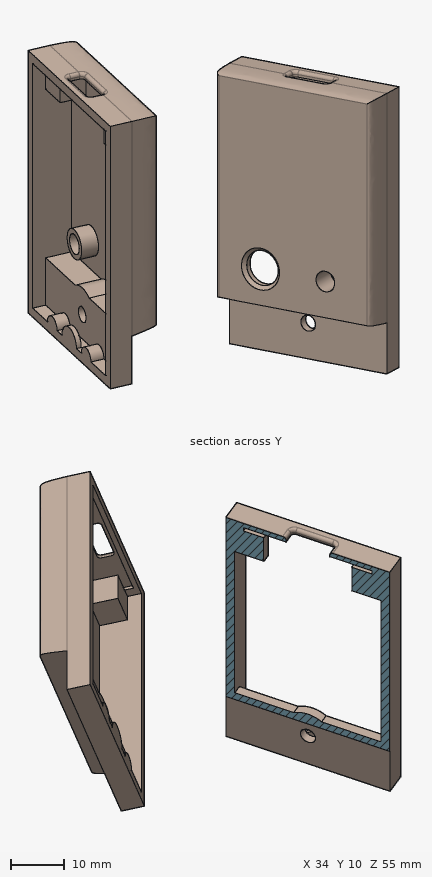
import cadquery as cq

WIDTH = 34.0
HEIGHT = 55.0
DEPTH = 10.0
HALF_WIDTH = WIDTH / 2

FRAME_DEPTH = 4.5
BACK_BOTTOM = 10.0
BACK_BOTTOM_RISE = 0.9

DRAFT_GUIDE_Y = 8.5
SIDE_DRAFT = 0.1
SIDE_FLAT_INSET = 1.0
TOP_DRAFT = 0.05
TOP_FLAT_INSET = 0.65

WALL = 1.9
FLOOR_THICKNESS = 1.9
FLOOR_Y = DEPTH - FLOOR_THICKNESS
STEP_Y = 2.7
CORNER_BLOCK = 6.0
SHELF_TOP = 11.8

RECESS_WIDTH = 26.6
RECESS_HEIGHT = 0.7
RECESS_FRONT_Y = 1.0

SCREW_Z = 7.0
SCREW_DIAMETER = 3.1
BULGE_RADIUS = 5.6

OPENING_X = 7.0
OPENING_Z = 18.0
LARGE_HOLE_DIAMETER = 6.8
LARGE_HOLE_CHAMFER = 0.7
TUBE_DIAMETER = 6.0
TUBE_BORE = 4.0
TUBE_FRONT_Y = 4.6

PEG_X = 7.0
PEG_DIAMETER = 4.0
MIDDLE_TAB_DIAMETER = 6.0
MIDDLE_TAB_THICKNESS = 1.0

PORT_WIDTH = 9.0
PORT_DEPTH = 3.3
PORT_Y = 3.5
PORT_CORNER = 0.7
PORT_LIP = 0.7


def box(x_range, y_range, z_range):
    """Axis-aligned box between the given limits."""
    size = [limits[1] - limits[0] for limits in (x_range, y_range, z_range)]
    corner = (x_range[0], y_range[0], z_range[0])
    return cq.Workplane("XY").box(*size, centered=False).translate(corner)


def cylinder(x, z, diameter, y_start, y_end):
    """Cylinder along Y."""
    plane = cq.Workplane("XZ", origin=(x, y_start, z))
    return plane.circle(diameter / 2).extrude(y_start - y_end)


def edge_curve(edge, draft, flat_inset):
    """Bezier control points of a rounded edge, as (distance from the middle, Y), frame to back face."""
    return [
        (edge, FRAME_DEPTH),
        (edge - draft, DRAFT_GUIDE_Y),
        (edge - draft, DEPTH),
        (edge - flat_inset, DEPTH),
    ]


def back_body():
    """Rear block: the width profile crossed with the height profile."""
    right = edge_curve(HALF_WIDTH, SIDE_DRAFT, SIDE_FLAT_INSET)
    left = [(-x, y) for x, y in reversed(right)]
    top = [(y, z) for z, y in edge_curve(HEIGHT, TOP_DRAFT, TOP_FLAT_INSET)]
    width_profile = (
        cq.Workplane("XY")
        .moveTo(*right[0])
        .bezier(right)
        .lineTo(*left[0])
        .bezier(left)
        .close()
        .extrude(HEIGHT)
    )
    height_profile = (
        cq.Workplane("YZ", origin=(-HALF_WIDTH, 0, 0))
        .moveTo(FRAME_DEPTH, BACK_BOTTOM)
        .lineTo(*top[0])
        .bezier(top)
        .lineTo(DEPTH, BACK_BOTTOM + BACK_BOTTOM_RISE)
        .close()
        .extrude(WIDTH)
    )
    return width_profile.intersect(height_profile)


def cavity():
    """Hollow open to the front, less the shelf and the corner blocks, plus the recess in the top wall."""
    half = HALF_WIDTH - WALL
    top = HEIGHT - WALL
    hollow = box((-half, half), (0, FLOOR_Y), (WALL, top))
    shelf = box((-half, half), (STEP_Y, FLOOR_Y), (WALL, SHELF_TOP))
    bulge = cylinder(0, SCREW_Z, 2 * BULGE_RADIUS, STEP_Y, FLOOR_Y)
    hollow = hollow.cut(shelf).cut(bulge)
    for x_start in (-half, half - CORNER_BLOCK):
        block_x = (x_start, x_start + CORNER_BLOCK)
        hollow = hollow.cut(box(block_x, (STEP_Y, FLOOR_Y), (top - CORNER_BLOCK, top)))
    recess_x = (-RECESS_WIDTH / 2, RECESS_WIDTH / 2)
    return hollow.union(box(recess_x, (RECESS_FRONT_Y, FLOOR_Y), (top, top + RECESS_HEIGHT)))


def bottom_tabs():
    """Two pegs reaching the shelf and a thin middle tab; half of each is inside the wall."""
    tabs = cylinder(0, WALL, MIDDLE_TAB_DIAMETER, 0, MIDDLE_TAB_THICKNESS)
    for x in (-PEG_X, PEG_X):
        tabs = tabs.union(cylinder(x, WALL, PEG_DIAMETER, 0, STEP_Y))
    return tabs.intersect(box((-HALF_WIDTH, HALF_WIDTH), (0, STEP_Y), (0, SHELF_TOP)))


def cut_port(body):
    """Rounded slot through the top wall with a rounded outer lip."""
    slot = (
        cq.Workplane("XY", origin=(0, PORT_Y, HEIGHT - WALL))
        .rect(PORT_WIDTH, PORT_DEPTH)
        .extrude(WALL)
        .edges("|Z")
        .fillet(PORT_CORNER)
    )
    half_depth = (PORT_DEPTH + PORT_LIP) / 2
    lip_region = cq.selectors.BoxSelector(
        (-PORT_WIDTH, PORT_Y - half_depth, HEIGHT - PORT_LIP),
        (PORT_WIDTH, PORT_Y + half_depth, HEIGHT + PORT_LIP),
    )
    vertical = cq.selectors.ParallelDirSelector(cq.Vector(0, 0, 1))
    return body.cut(slot).edges(lip_region - vertical).fillet(PORT_LIP)


def cut_large_hole(body):
    """Plain hole through the back, chamfered at the back face."""
    hole = cylinder(OPENING_X, OPENING_Z, LARGE_HOLE_DIAMETER, 0, DEPTH)
    back_edge = cq.selectors.BoxSelector(
        (0, DEPTH - LARGE_HOLE_CHAMFER, OPENING_Z - LARGE_HOLE_DIAMETER),
        (HALF_WIDTH, DEPTH + LARGE_HOLE_CHAMFER, OPENING_Z + LARGE_HOLE_DIAMETER),
    )
    circles = cq.selectors.TypeSelector("CIRCLE")
    return body.cut(hole).edges(back_edge & circles).chamfer(LARGE_HOLE_CHAMFER)


frame = box((-HALF_WIDTH, HALF_WIDTH), (0, FRAME_DEPTH), (0, HEIGHT))
body = frame.union(back_body()).cut(cavity())
body = cut_port(body)
body = body.union(bottom_tabs())
body = body.union(cylinder(-OPENING_X, OPENING_Z, TUBE_DIAMETER, TUBE_FRONT_Y, FLOOR_Y))
body = body.cut(cylinder(-OPENING_X, OPENING_Z, TUBE_BORE, 0, DEPTH))
body = cut_large_hole(body)
result = body.cut(cylinder(0, SCREW_Z, SCREW_DIAMETER, STEP_Y, FRAME_DEPTH))